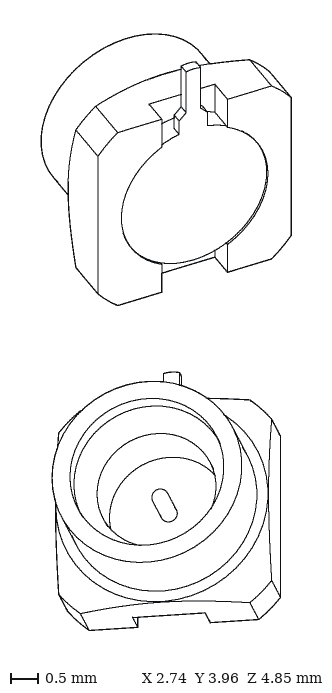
import cadquery as cq
import math


barrel_diameter = 3.53
barrel_length = 1.52

flange_width = 3.96
total_length = 2.74
flange_length = total_length - barrel_length
flange_corner_diameter = 5.06
chamfer_start_diameter = 3.94
chamfer_angle = 30.0

mouth_diameter = 2.86
mouth_depth = 0.4
taper_length = 0.57
socket_diameter = 2.21

insulator_diameter = 3.0
insulator_recess = 0.05
notch_width = 1.345
notch_depth = 0.515
notch_front = total_length - notch_depth
insulator_back = total_length - insulator_recess

contact_diameter = 0.31
contact_tip_x = 1.2
socket_floor_x = notch_front

tail_width = 0.3
tail_thickness = 0.2
tail_height = flange_width / 2 + 0.89
tail_crown = 0.02
tail_base_width = 0.585
tail_shoulder_top = 1.92
tail_shoulder_drop = (tail_base_width - tail_width) / 2


def cylinder_x(diameter, start, end):
    """Cylinder on the X axis between two positions."""
    return cq.Workplane("YZ").workplane(offset=start).circle(diameter / 2).extrude(end - start)


def make_flange():
    """Square flange with turned corners and a conical front chamfer."""
    start_radius = chamfer_start_diameter / 2
    corner_radius = flange_corner_diameter / 2
    chamfer_length = (corner_radius - start_radius) * math.tan(math.radians(chamfer_angle))
    turned_blank = (
        cq.Workplane("XY")
        .moveTo(barrel_length, 0)
        .lineTo(barrel_length, start_radius)
        .lineTo(barrel_length + chamfer_length, corner_radius)
        .lineTo(total_length, corner_radius)
        .lineTo(total_length, 0)
        .close()
        .revolve(360, (0, 0, 0), (1, 0, 0))
    )
    square = (
        cq.Workplane("YZ")
        .workplane(offset=barrel_length)
        .rect(flange_width, flange_width)
        .extrude(flange_length)
    )
    return turned_blank.intersect(square)


def make_bore():
    """Material removed from the barrel: mouth, taper and socket."""
    taper_end = mouth_depth + taper_length
    return (
        cq.Workplane("XY")
        .moveTo(0, 0)
        .lineTo(0, mouth_diameter / 2)
        .lineTo(mouth_depth, mouth_diameter / 2)
        .lineTo(taper_end, socket_diameter / 2)
        .lineTo(socket_floor_x, socket_diameter / 2)
        .lineTo(socket_floor_x, 0)
        .close()
        .revolve(360, (0, 0, 0), (1, 0, 0))
    )


def make_notch():
    """Rear slot across the whole flange height, interrupted by the insulator."""
    slot = (
        cq.Workplane("XY")
        .box(notch_depth, notch_width, flange_width, centered=(False, True, True))
        .translate((notch_front, 0, 0))
    )
    return slot.cut(cylinder_x(insulator_diameter, notch_front, total_length))


def make_contact():
    """Round centre contact standing on the socket floor."""
    radius = contact_diameter / 2
    tip_centre_x = contact_tip_x + radius
    shank = cylinder_x(contact_diameter, tip_centre_x, insulator_back)
    tip = cq.Workplane("XY").sphere(radius).translate((tip_centre_x, 0, 0))
    return shank.union(tip)


def make_tail():
    """Flat solder tail with sloped shoulders and a crowned end."""
    half_width = tail_width / 2
    half_base = tail_base_width / 2
    shoulder_bottom = tail_shoulder_top - tail_shoulder_drop
    crown_edge = tail_height - tail_crown
    return (
        cq.Workplane("YZ")
        .workplane(offset=insulator_back - tail_thickness)
        .moveTo(-half_base, 0)
        .lineTo(-half_base, shoulder_bottom)
        .lineTo(-half_width, tail_shoulder_top)
        .lineTo(-half_width, crown_edge)
        .threePointArc((0, tail_height), (half_width, crown_edge))
        .lineTo(half_width, tail_shoulder_top)
        .lineTo(half_base, shoulder_bottom)
        .lineTo(half_base, 0)
        .close()
        .extrude(tail_thickness)
    )


shell = cylinder_x(barrel_diameter, 0, barrel_length).union(make_flange())
rear_recess = cylinder_x(insulator_diameter, insulator_back, total_length)
body = shell.cut(make_bore()).cut(make_notch()).cut(rear_recess)
result = body.union(make_contact()).union(make_tail())